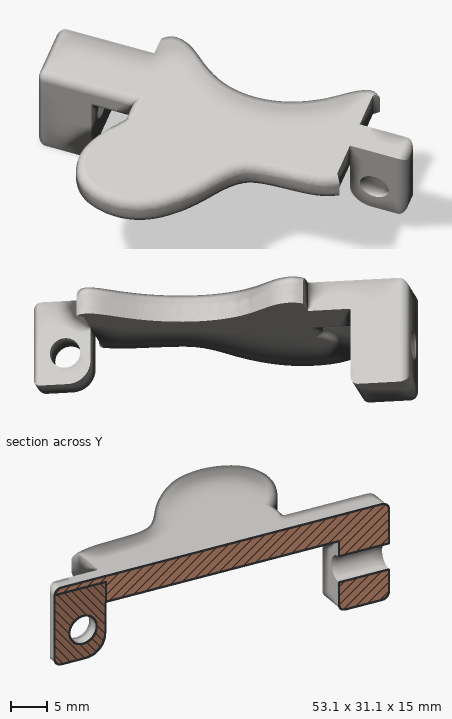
import cadquery as cq

LENGTH = 53.1
EDGE_RADIUS = 1.2

PLATE_THICKNESS = 4.1
PLATE_LEFT = 14.0
PLATE_RIGHT = 45.0
ARM_WIDTH = 9.05
POST_LENGTH = 8.0
POST_HEIGHT = 15.0
POST_INNER_RADIUS = 1.05
POST_HOLE_DIAMETER = 4.0
POST_HOLE_DEPTH = 8.45

STRIP_THICKNESS = 1.0
LUG_WIDTH = 4.05
LUG_HEIGHT = 12.0
LUG_INNER_RADIUS = 3.2
LUG_EDGE_RADIUS = 1.15
LUG_HOLE_DIAMETER = 4.25
LUG_HOLE_X = 48.55
LUG_HOLE_DEPTH = 7.5

BACK_RIM = [
    (PLATE_LEFT, 8.1), (16.05, 8.85), (18.15, 8.05), (20.7, 6.0), (23.9, 3.75), (29.7, 2.45),
    (34.8, 3.4), (39.25, 5.8), (42.5, 8.2), (44.25, 8.85), (45.75, 8.2),
]
FRONT_RIM = [
    (PLATE_LEFT, -7.35), (11.5, -10.95), (10.1, -15.55), (11.3, -19.45), (17.4, -22.2), (22.0, -21.3),
    (25.8, -18.55), (28.4, -15.5), (30.95, -12.0), (32.85, -10.45), (35.4, -9.9), (40.55, -9.6),
    (43.75, -9.15), (45.65, -8.3),
]
END_BACK_Y = 7.5
END_FRONT_Y = -7.35


def box(x_min, x_max, width, z_min, z_max):
    """Block centred on the XZ plane."""
    return cq.Workplane("XY").box(
        x_max - x_min, width, z_max - z_min, centered=(False, True, False)
    ).translate((x_min, 0, z_min))


def make_plate_blank():
    """Plate with the arm; the arm reaches the outer face of the post."""
    half_arm = ARM_WIDTH / 2
    return (
        cq.Workplane("XY", origin=(0, 0, -PLATE_THICKNESS))
        .moveTo(0, -half_arm)
        .lineTo(0, half_arm)
        .lineTo(PLATE_LEFT, half_arm)
        .lineTo(*BACK_RIM[0])
        .spline(BACK_RIM[1:], includeCurrent=True)
        .lineTo(PLATE_RIGHT, END_BACK_Y)
        .lineTo(PLATE_RIGHT, END_FRONT_Y)
        .lineTo(*FRONT_RIM[-1])
        .spline(FRONT_RIM[-2::-1], includeCurrent=True)
        .lineTo(PLATE_LEFT, -half_arm)
        .close()
        .extrude(PLATE_THICKNESS)
    )


def edges_near(body, points):
    """Edges of the body closest to the given points."""
    return body.newObject([
        min(body.edges().vals(), key=lambda edge: edge.distance(cq.Vertex.makeVertex(*point)))
        for point in points
    ])


def make_lug_block():
    """Rounded end block that holds both the strip and the lug."""
    block = box(PLATE_RIGHT, LENGTH, LUG_WIDTH, -LUG_HEIGHT, 0)
    block = block.edges("<X and <Z").fillet(LUG_INNER_RADIUS)
    return block.faces(">X").edges().fillet(LUG_EDGE_RADIUS)


def make_plate():
    plate = make_plate_blank()
    plate = plate.union(box(0, POST_LENGTH, ARM_WIDTH, -POST_HEIGHT, 0)).clean()
    plate = edges_near(plate, [(POST_LENGTH, 0, -POST_HEIGHT)]).fillet(POST_INNER_RADIUS)

    arm_point = ((POST_LENGTH + PLATE_LEFT) / 2, -ARM_WIDTH / 2)
    side_point = (PLATE_LEFT, (FRONT_RIM[0][1] - ARM_WIDTH / 2) / 2)
    front_points = [arm_point, side_point, FRONT_RIM[4]]
    top_points = [(x, y, 0) for x, y in [*front_points, BACK_RIM[5]]]
    bottom_points = [(x, y, -PLATE_THICKNESS) for x, y in front_points]
    post_points = [(0, 0, 0), (0, 0, -POST_HEIGHT)]
    for side in (-1, 1):
        post_points.append((0, side * ARM_WIDTH / 2, -POST_HEIGHT / 2))
    plate = edges_near(plate, top_points + bottom_points + post_points).fillet(EDGE_RADIUS)

    hole = (
        cq.Workplane("YZ", origin=(0, 0, -POST_HOLE_DEPTH))
        .circle(POST_HOLE_DIAMETER / 2)
        .extrude(POST_LENGTH)
    )
    strip = make_lug_block().intersect(box(PLATE_RIGHT, LENGTH, LUG_WIDTH, -STRIP_THICKNESS, 0))
    return plate.cut(hole).union(strip)


def make_lug():
    lug = make_lug_block().intersect(
        box(PLATE_RIGHT, LENGTH, LUG_WIDTH, -LUG_HEIGHT, -STRIP_THICKNESS)
    )
    hole = (
        cq.Workplane("XZ", origin=(LUG_HOLE_X, 0, -LUG_HOLE_DEPTH))
        .circle(LUG_HOLE_DIAMETER / 2)
        .extrude(LUG_WIDTH / 2, both=True)
    )
    return lug.cut(hole)


plate = make_plate()
lug = make_lug()
result = cq.Compound.makeCompound([plate.solids().val(), lug.solids().val()])